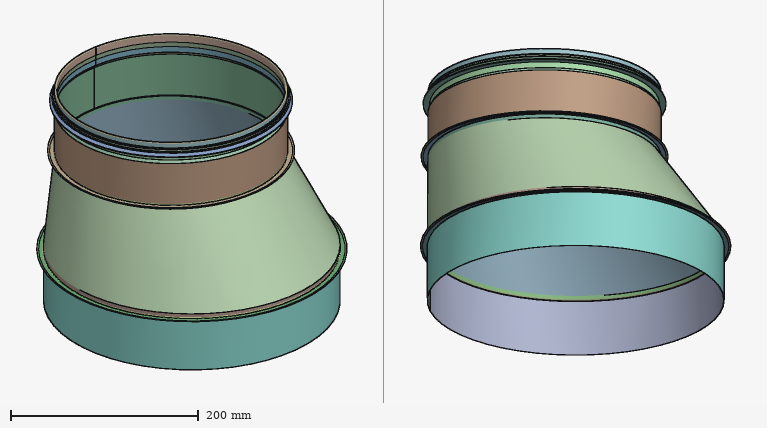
import cadquery as cq
import math

SHEET = 0.5
PIPE_SLIT = 0.3
LARGE_R = 316.5 / 2
SMALL_R = 249.0 / 2
SMALL_AXIS_X = SMALL_R - LARGE_R

LARGEST_R = 330.7 / 2
UPPER_FLANGE_REACH = LARGEST_R - LARGE_R
LOWER_FLANGE_REACH = 5.0
BEND_R = 1.0
LARGE_SEAM_Z = 62.0
SMALL_SEAM_Z = 167.0

CONE_BOTTOM_Z = 67.5
CONE_TOP_Z = 162.5

NECK_R = 245.0 / 2
NECK_STEP_Z = 217.3
NECK_BOTTOM_Z = 220.5
NECK_TOP_Z = 228.0
MOUTH_INNER_R = 243.0 / 2
MOUTH_BOTTOM_Z = 232.8
FOLD_END_Z = 236.0
TOP_Z = 242.5

GASKET_BOTTOM_Z = 227.2
LOWER_LIP_R = 259.0 / 2
LOWER_LIP_TOP_Z = 228.2
NOTCH_Z = 229.8
UPPER_LIP_R = 254.3 / 2
UPPER_LIP_BOTTOM_Z = 231.5
UPPER_LIP_TOP_Z = 232.0
SHOULDER_R = 252.0 / 2
SHOULDER_BOTTOM_Z = 232.8
SHOULDER_TOP_Z = 234.8


def revolve_about_z(profile):
    """Turn a closed XZ profile, drawn on the -X side, once around the Z axis."""
    return profile.close().revolve(360, (0, 0, 0), (0, 1, 0))


def ring(section):
    """Ring from a list of (radius, z) corners."""
    return revolve_about_z(cq.Workplane("XZ").polyline([(-r, z) for r, z in section]))


def bent_flange_tube(outer_r, seam_z, top_z):
    """Tube above a seam, its lower edge bent outward into the wide flange."""
    inner_r = outer_r - SHEET
    rim_r = outer_r + UPPER_FLANGE_REACH
    bend_axis_r = outer_r + BEND_R
    flange_top_z = seam_z + SHEET
    bend_z = flange_top_z + BEND_R
    concave_mid = BEND_R * math.sqrt(0.5)
    convex_mid = (BEND_R + SHEET) * math.sqrt(0.5)
    profile = (
        cq.Workplane("XZ")
        .moveTo(-inner_r, top_z)
        .lineTo(-outer_r, top_z)
        .lineTo(-outer_r, bend_z)
        .threePointArc((concave_mid - bend_axis_r, bend_z - concave_mid), (-bend_axis_r, flange_top_z))
        .lineTo(-rim_r, flange_top_z)
        .lineTo(-rim_r, seam_z)
        .lineTo(-bend_axis_r, seam_z)
        .threePointArc((convex_mid - bend_axis_r, bend_z - convex_mid), (-inner_r, bend_z))
    )
    return revolve_about_z(profile)


def square_flange_tube(outer_r, bottom_z, seam_z):
    """Tube below a seam, ending in the narrow flange."""
    inner_r = outer_r - SHEET
    rim_r = outer_r + LOWER_FLANGE_REACH
    return ring([
        (inner_r, bottom_z),
        (outer_r, bottom_z),
        (outer_r, seam_z - SHEET),
        (rim_r, seam_z - SHEET),
        (rim_r, seam_z),
        (inner_r, seam_z),
    ])


def on_small_axis(body):
    return body.translate((SMALL_AXIS_X, 0, 0))


def with_slit(pipe):
    """Cut the full-height joint through the -X wall of a pipe centred on the Z axis."""
    slit = cq.Workplane("XY").box(2 * LARGE_R, PIPE_SLIT, 2 * TOP_Z).translate((-LARGE_R, 0, 0))
    return pipe.cut(slit)


def make_large_pipe():
    return with_slit(square_flange_tube(LARGE_R, 0, LARGE_SEAM_Z))


def oblique_cone(bottom_r, top_r):
    return (
        cq.Workplane("XY", origin=(0, 0, CONE_BOTTOM_Z))
        .circle(bottom_r)
        .workplane(offset=CONE_TOP_Z - CONE_BOTTOM_Z)
        .center(SMALL_AXIS_X, 0)
        .circle(top_r)
        .loft(ruled=True)
    )


def make_cone():
    shell = oblique_cone(LARGE_R, SMALL_R).cut(oblique_cone(LARGE_R - SHEET, SMALL_R - SHEET))
    bottom_collar = bent_flange_tube(LARGE_R, LARGE_SEAM_Z, CONE_BOTTOM_Z)
    top_collar = square_flange_tube(SMALL_R, CONE_TOP_Z, SMALL_SEAM_Z)
    return shell.union(bottom_collar).union(on_small_axis(top_collar))


def make_spigot_end():
    """Necked end of the small pipe, from the neck step to the folded edge."""
    mouth_back_r = MOUTH_INNER_R + SHEET
    fold_r = (SMALL_R - MOUTH_INNER_R) / 2
    fold_axis_r = SMALL_R - fold_r
    fold_z = TOP_Z - fold_r
    profile = (
        cq.Workplane("XZ")
        .moveTo(-SMALL_R, NECK_STEP_Z)
        .lineTo(-NECK_R, NECK_BOTTOM_Z)
        .lineTo(-NECK_R, NECK_TOP_Z)
        .lineTo(-mouth_back_r, MOUTH_BOTTOM_Z)
        .lineTo(-mouth_back_r, fold_z)
        .threePointArc((-fold_axis_r, TOP_Z - SHEET), (SHEET - SMALL_R, fold_z))
        .lineTo(SHEET - SMALL_R, FOLD_END_Z)
        .lineTo(-SMALL_R, FOLD_END_Z)
        .lineTo(-SMALL_R, fold_z)
        .threePointArc((-fold_axis_r, TOP_Z), (-MOUTH_INNER_R, fold_z))
        .lineTo(-MOUTH_INNER_R, MOUTH_BOTTOM_Z)
        .lineTo(SHEET - NECK_R, NECK_TOP_Z)
        .lineTo(SHEET - NECK_R, NECK_BOTTOM_Z)
        .lineTo(SHEET - SMALL_R, NECK_STEP_Z)
    )
    return revolve_about_z(profile)


def make_small_pipe():
    wall = bent_flange_tube(SMALL_R, SMALL_SEAM_Z, NECK_STEP_Z)
    return on_small_axis(with_slit(wall.union(make_spigot_end())))


def make_gasket():
    section = [
        (NECK_R, GASKET_BOTTOM_Z),
        (LOWER_LIP_R, GASKET_BOTTOM_Z),
        (LOWER_LIP_R, LOWER_LIP_TOP_Z),
        (SMALL_R, NOTCH_Z),
        (UPPER_LIP_R, UPPER_LIP_BOTTOM_Z),
        (UPPER_LIP_R, UPPER_LIP_TOP_Z),
        (SHOULDER_R, SHOULDER_BOTTOM_Z),
        (SHOULDER_R, SHOULDER_TOP_Z),
        (SMALL_R, SHOULDER_TOP_Z),
        (SMALL_R, FOLD_END_Z),
        (SMALL_R - SHEET, FOLD_END_Z),
        (MOUTH_INNER_R + SHEET, MOUTH_BOTTOM_Z),
        (NECK_R, NECK_TOP_Z),
    ]
    return on_small_axis(ring(section))


large_pipe = make_large_pipe()
cone = make_cone()
small_pipe = make_small_pipe()
gasket = make_gasket()

result = cq.Compound.makeCompound([
    large_pipe.val(),
    cone.val(),
    small_pipe.val(),
    gasket.val(),
])